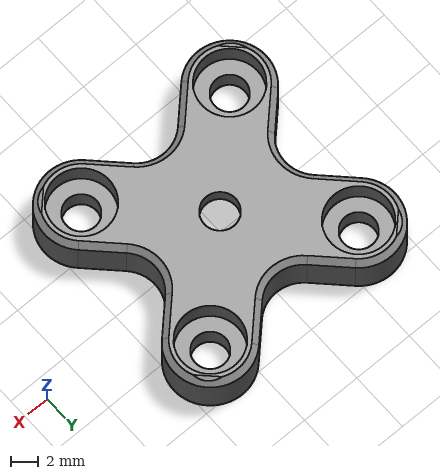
import cadquery as cq
import math

outer_size = 21.15
thickness = 4.0
arm_width = 7.0
inner_corner_radius = 3.0
rim_chamfer = 0.5

screw_hole_diameter = 2.9
counterbore_diameter = 5.3
counterbore_depth = 2.0

centre_hole_diameter = 3.0
centre_hole_length = 1.4
recess_diameter = 6.0

tip_facet_inset = 0.7
tip_facet_run = 1.7
tip_facet_drop = 0.75

arm_angles = [45, 135, 225, 315]
inner_corner_angles = [0, 90, 180, 270]
arm_radius = arm_width / 2
screw_offset = (outer_size - arm_width) / 2
screw_points = [(x, y) for x in (-screw_offset, screw_offset) for y in (-screw_offset, screw_offset)]
screw_distance = screw_offset * math.sqrt(2)
arm_tip_distance = screw_distance + arm_radius
inner_corner_distance = arm_radius * math.sqrt(2)


def make_bar(angle):
    """Full-length round-ended bar that forms two opposite arms."""
    return cq.Workplane("XY").slot2D(2 * arm_tip_distance, arm_width, angle).extrude(thickness)


def make_cross():
    """Four-armed plate with rounded inner corners and a chamfered top rim."""
    cross = make_bar(arm_angles[0]).union(make_bar(arm_angles[1]))
    margin = 0.21
    for angle in inner_corner_angles:
        x = inner_corner_distance * math.cos(math.radians(angle))
        y = inner_corner_distance * math.sin(math.radians(angle))
        corner_edge = cq.selectors.BoxSelector(
            (x - margin, y - margin, 0), (x + margin, y + margin, thickness)
        )
        cross = cross.edges("|Z").edges(corner_edge).fillet(inner_corner_radius)
    return cross.faces(">Z").edges().chamfer(rim_chamfer)


def make_tip_cutter(angle):
    """Wedge that planes a shallow sloping facet off the top of one arm tip."""
    facet_start = arm_tip_distance - tip_facet_inset
    facet_length = 2 * tip_facet_inset
    facet_end = facet_start + facet_length
    facet_fall = facet_length * tip_facet_drop / tip_facet_run
    return (
        cq.Workplane("XZ")
        .moveTo(facet_start, thickness)
        .lineTo(facet_end, thickness)
        .lineTo(facet_end, thickness - facet_fall)
        .close()
        .extrude(arm_radius, both=True)
        .rotate((0, 0, 0), (0, 0, 1), angle)
    )


body = make_cross()

for arm_angle in arm_angles:
    body = body.cut(make_tip_cutter(arm_angle))

body = (
    body.faces(">Z")
    .workplane(origin=(0, 0, thickness))
    .pushPoints(screw_points)
    .cboreHole(screw_hole_diameter, counterbore_diameter, counterbore_depth)
)

centre_hole = cq.Workplane("XY").circle(centre_hole_diameter / 2).extrude(thickness)
recess = cq.Workplane("XY").circle(recess_diameter / 2).extrude(thickness - centre_hole_length)

result = body.cut(centre_hole).cut(recess)